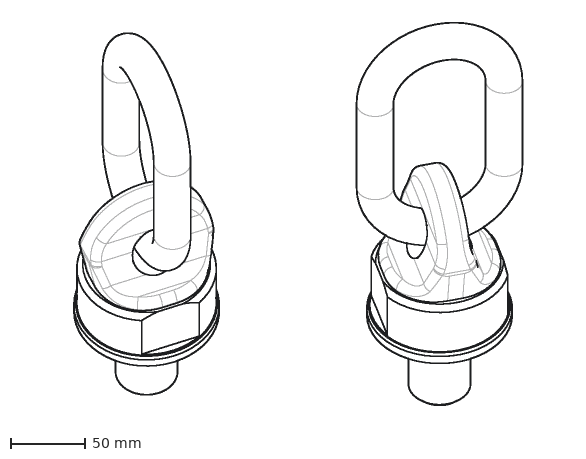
import cadquery as cq
import math


shank_radius = 21.0
shank_length = 67.3
tip_chamfer_height = 5.3
tip_radius = 16.0
neck_radius = 18.0
neck_length = 10.6
neck_fillet = 1.7
shank_shoulder_chamfer = 2.0

flange_radius = 49.0
flange_rim_height = 6.3
flange_height = 8.7
flange_top_radius = 47.8
body_radius = 47.0
body_top = 48.2
body_chamfer = 4.0
flat_distance = 42.0
flat_floor_z = 9.7

eye_radius = 44.5
eye_center_z = 77.5
eye_top = eye_center_z + eye_radius
eye_hole_radius = 16.5
eye_half_thickness = 11.2
eye_edge_fillet = 5.7
foot_half_width = 39.8
foot_corner_radius = 34.5
foot_taper_degrees = 10.0
foot_top = 56.3
flare_angle = math.radians(20.0)
flare_top_z = 96.3
flare_blend_radius = 40.0
flank_bottom_z = 63.6

link_width = 115.0
wire_diameter = 25.0
overall_height = 325.79
link_top = overall_height - shank_length
link_straight = 75.0


def make_shank():
    """Shank with a chamfered tip and a filleted neck under the flange."""
    shoulder_radius = shank_radius - shank_shoulder_chamfer
    shoulder_z = -neck_length
    return (
        cq.Workplane("XZ")
        .moveTo(0, -shank_length)
        .lineTo(tip_radius, -shank_length)
        .lineTo(shank_radius, -shank_length + tip_chamfer_height)
        .lineTo(shank_radius, shoulder_z - shank_shoulder_chamfer)
        .lineTo(shoulder_radius, shoulder_z)
        .lineTo(neck_radius, shoulder_z + neck_fillet)
        .lineTo(neck_radius, -neck_fillet)
        .radiusArc((neck_radius + neck_fillet, 0), neck_fillet)
        .lineTo(0, 0)
        .close()
        .revolve(360, (0, 0), (0, 1))
    )


def make_body():
    """Flanged round body with two opposite wrench flats."""
    body = (
        cq.Workplane("XZ")
        .lineTo(flange_radius, 0)
        .lineTo(flange_radius, flange_rim_height)
        .lineTo(flange_top_radius, flange_height)
        .lineTo(body_radius, flange_height)
        .lineTo(body_radius, body_top - body_chamfer)
        .lineTo(body_radius - body_chamfer, body_top)
        .lineTo(0, body_top)
        .close()
        .revolve(360, (0, 0), (0, 1))
    )
    flat_depth = flange_radius - flat_distance
    for side in (-1, 1):
        flat_cut = (
            cq.Workplane("XY", origin=(side * (flat_distance + flat_depth / 2), 0, flat_floor_z))
            .rect(flat_depth, 2 * flange_radius)
            .extrude(body_top)
        )
        body = body.cut(flat_cut)
    return body


def make_eye_thickness():
    """Flared XZ section: straight sides, blended into sloping flanks, swept out onto the foot."""
    sin_flare = math.sin(flare_angle)
    cos_flare = math.cos(flare_angle)
    half_flare = flare_angle / 2

    flank_top_x = eye_half_thickness + flare_blend_radius * (1 - cos_flare)
    flank_top_z = flare_top_z - flare_blend_radius * sin_flare
    blend_mid_x = eye_half_thickness + flare_blend_radius * (1 - math.cos(half_flare))
    blend_mid_z = flare_top_z - flare_blend_radius * math.sin(half_flare)
    flank_bottom_x = flank_top_x + (flank_top_z - flank_bottom_z) * math.tan(flare_angle)
    cove_radius = (flank_bottom_z - foot_top) / (1 - sin_flare)
    cove_end_x = flank_bottom_x + cove_radius * cos_flare
    cove_mid_angle = (flare_angle + math.pi / 2) / 2
    cove_mid_x = cove_end_x - cove_radius * math.cos(cove_mid_angle)
    cove_mid_z = foot_top + cove_radius * (1 - math.sin(cove_mid_angle))

    half_section = (
        cq.Workplane("XZ")
        .moveTo(0, body_top)
        .lineTo(flange_radius, body_top)
        .lineTo(flange_radius, foot_top)
        .lineTo(cove_end_x, foot_top)
        .threePointArc((cove_mid_x, cove_mid_z), (flank_bottom_x, flank_bottom_z))
        .lineTo(flank_top_x, flank_top_z)
        .threePointArc((blend_mid_x, blend_mid_z), (eye_half_thickness, flare_top_z))
        .lineTo(eye_half_thickness, eye_top)
        .lineTo(0, eye_top)
        .close()
        .extrude(2 * flange_radius, both=True)
    )
    return half_section.union(half_section.mirror("YZ")).clean()


def make_eye():
    """Eye disc and foot, rounded along the edges of the flared section."""
    outline = (
        cq.Workplane("YZ")
        .moveTo(-eye_radius, body_top)
        .lineTo(eye_radius, body_top)
        .lineTo(eye_radius, eye_center_z)
        .threePointArc((0, eye_top), (-eye_radius, eye_center_z))
        .close()
        .extrude(flange_radius, both=True)
    )
    foot_plan = (
        cq.Sketch()
        .rect(2 * foot_half_width, 2 * foot_half_width)
        .vertices()
        .fillet(foot_corner_radius)
    )
    foot_taper = (
        cq.Workplane("XY", origin=(0, 0, body_top))
        .placeSketch(foot_plan)
        .extrude(eye_top - body_top, taper=-foot_taper_degrees)
    )
    section = make_eye_thickness()
    disc = section.intersect(outline)
    rounded_disc = disc.edges("%CIRCLE").fillet(eye_edge_fillet)
    foot = section.intersect(foot_taper)
    rounded_foot = foot.edges("%CIRCLE").edges("not(<Z or >Z)").fillet(eye_edge_fillet)
    return rounded_disc.intersect(rounded_foot)


def make_eye_hole():
    return (
        cq.Workplane("YZ", origin=(0, 0, eye_center_z))
        .circle(eye_hole_radius)
        .extrude(flange_radius, both=True)
    )


def make_link():
    """Round wire swept along a closed oval; it passes through the eye and touches its rim."""
    wire_radius = wire_diameter / 2
    bend_radius = link_width / 2 - wire_radius
    upper_z = link_top - link_width / 2
    lower_z = upper_z - link_straight
    path = (
        cq.Workplane("XZ")
        .moveTo(-bend_radius, lower_z)
        .lineTo(-bend_radius, upper_z)
        .threePointArc((0, upper_z + bend_radius), (bend_radius, upper_z))
        .lineTo(bend_radius, lower_z)
        .threePointArc((0, lower_z - bend_radius), (-bend_radius, lower_z))
        .close()
    )
    return cq.Workplane("XY", origin=(-bend_radius, 0, lower_z)).circle(wire_radius).sweep(path)


eye = make_eye().cut(make_eye_hole())
result = make_shank().union(make_body()).union(eye).union(make_link())